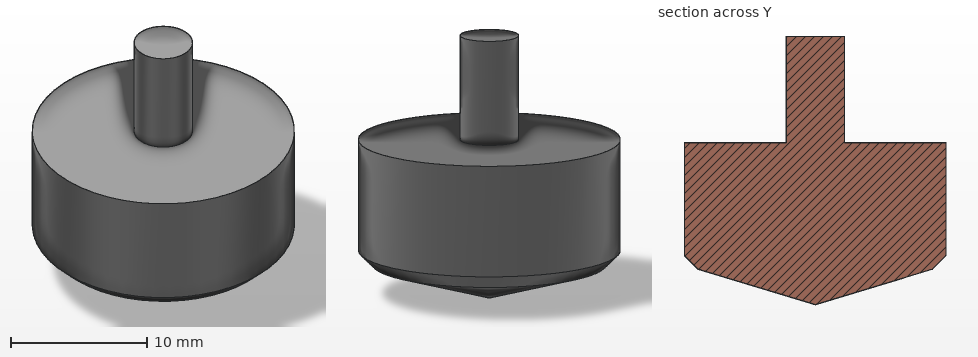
import cadquery as cq

total_height = 19.7
body_diameter = 19.25
pin_diameter = 4.3
pin_length = 7.8
chamfer_size = 1.0
tip_height = 2.6

body_radius = body_diameter / 2
pin_radius = pin_diameter / 2
cone_radius = body_radius - chamfer_size
chamfer_top = tip_height + chamfer_size
body_top = total_height - pin_length

profile = (
    cq.Workplane("XZ")
    .moveTo(0, 0)
    .lineTo(cone_radius, tip_height)
    .lineTo(body_radius, chamfer_top)
    .lineTo(body_radius, body_top)
    .lineTo(pin_radius, body_top)
    .lineTo(pin_radius, total_height)
    .lineTo(0, total_height)
    .close()
)

result = profile.revolve(360, (0, 0, 0), (0, 1, 0))